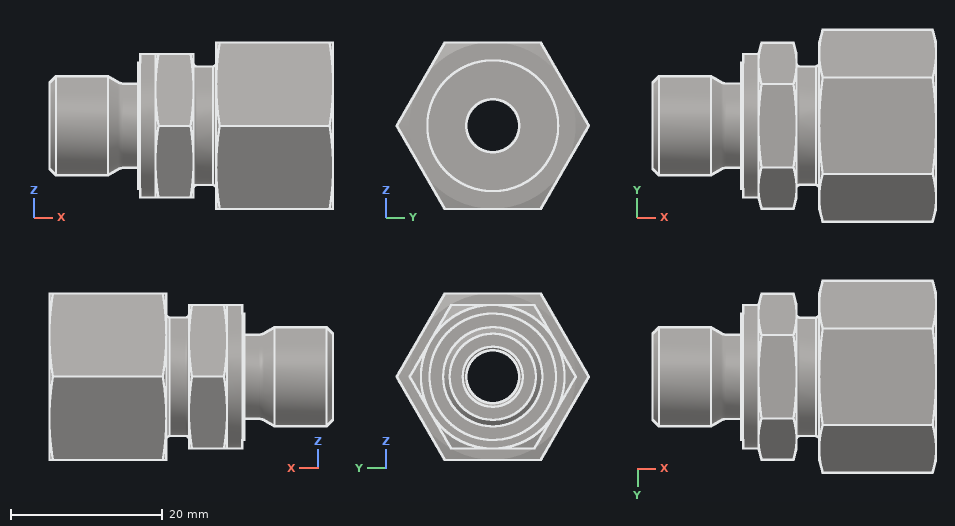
import cadquery as cq
import math


SEAL_FACE_X = 11.75
FLANGE_X = 12.0
BODY_HEX_X = 14.02
BODY_HEX_END_X = 19.05
NUT_X = 22.05
NUT_END_X = 37.5

STUD_RADIUS = 6.55
STUD_CHAMFER = 0.85
STUD_LENGTH = 7.72
BORE_RADIUS = 3.5
BORE_CHAMFER = 0.5

UNDERCUT_RADIUS = 5.6
UNDERCUT_ANGLE = math.radians(30)
UNDERCUT_BLEND = 1.2

BODY_HEX_FLATS = 19.0
NUT_FLATS = 22.0
HEX_CHAMFER_ANGLE = math.radians(15)
HEX_SIDES = 6

NECK_RADIUS = 7.85
NECK_FILLET = 0.45
SHANK_RADIUS = 8.65
NUT_MOUTH_CHAMFER = 0.55
SHANK_TAPER_X = 21.65
SHANK_TAPER_ANGLE = math.radians(30)

SEAL_RADIUS = 8.35
SEAL_THICKNESS = 1.5


def cylinder(x_start, x_end, radius):
    """Cylinder on the X axis between two stations."""
    return cq.Workplane("YZ").workplane(offset=x_start).circle(radius).extrude(x_end - x_start)


def revolve_about_x(profile):
    """Full turn of a closed XY profile about the X axis."""
    return profile.revolve(360, (0, 0, 0), (1, 0, 0))


def chamfered_hex(x_start, x_end, flats):
    """Hexagon with its corners on Y, turned conically at both ends down to its inscribed circle."""
    inscribed = flats / 2
    corner = inscribed / math.cos(math.pi / HEX_SIDES)
    chamfer = (corner - inscribed) * math.tan(HEX_CHAMFER_ANGLE)
    prism = (
        cq.Workplane("YZ").workplane(offset=x_start)
        .polygon(HEX_SIDES, 2 * corner)
        .extrude(x_end - x_start)
    )
    turned_blank = revolve_about_x(
        cq.Workplane("XY").polyline([
            (x_start, 0),
            (x_start, inscribed),
            (x_start + chamfer, corner),
            (x_end - chamfer, corner),
            (x_end, inscribed),
            (x_end, 0),
        ]).close()
    )
    return prism.intersect(turned_blank)


def make_stud():
    """Chamfered stud with its undercut, reaching to the flange."""
    blend_drop = UNDERCUT_BLEND * (1 - math.cos(UNDERCUT_ANGLE))
    blend_length = UNDERCUT_BLEND * math.sin(UNDERCUT_ANGLE)
    cone_end_radius = UNDERCUT_RADIUS + blend_drop
    cone_end_x = STUD_LENGTH + (STUD_RADIUS - cone_end_radius) / math.tan(UNDERCUT_ANGLE)
    blend_end_x = cone_end_x + blend_length
    half_angle = UNDERCUT_ANGLE / 2
    blend_middle = (
        blend_end_x - UNDERCUT_BLEND * math.sin(half_angle),
        UNDERCUT_RADIUS + UNDERCUT_BLEND * (1 - math.cos(half_angle)),
    )
    profile = (
        cq.Workplane("XY")
        .moveTo(0, 0)
        .lineTo(0, STUD_RADIUS - STUD_CHAMFER)
        .lineTo(STUD_CHAMFER, STUD_RADIUS)
        .lineTo(STUD_LENGTH, STUD_RADIUS)
        .lineTo(cone_end_x, cone_end_radius)
        .threePointArc(blend_middle, (blend_end_x, UNDERCUT_RADIUS))
        .lineTo(FLANGE_X, UNDERCUT_RADIUS)
        .lineTo(FLANGE_X, 0)
        .close()
    )
    return revolve_about_x(profile)


def make_shank():
    """Neck filleted into the hexagon, then tapered up to the shank that fills the nut."""
    taper_end_x = SHANK_TAPER_X + (SHANK_RADIUS - NECK_RADIUS) / math.tan(SHANK_TAPER_ANGLE)
    profile = (
        cq.Workplane("XY")
        .moveTo(BODY_HEX_END_X, 0)
        .lineTo(BODY_HEX_END_X, NECK_RADIUS + NECK_FILLET)
        .radiusArc((BODY_HEX_END_X + NECK_FILLET, NECK_RADIUS), -NECK_FILLET)
        .lineTo(SHANK_TAPER_X, NECK_RADIUS)
        .lineTo(taper_end_x, SHANK_RADIUS)
        .lineTo(NUT_END_X, SHANK_RADIUS)
        .lineTo(NUT_END_X, 0)
        .close()
    )
    return revolve_about_x(profile)


def make_bore():
    """Through bore with a conical mouth at the stud end."""
    profile = cq.Workplane("XY").polyline([
        (0, 0),
        (0, BORE_RADIUS + BORE_CHAMFER),
        (BORE_CHAMFER, BORE_RADIUS),
        (NUT_END_X, BORE_RADIUS),
        (NUT_END_X, 0),
    ]).close()
    return revolve_about_x(profile)


def make_seal():
    """Flat ring around the undercut, standing slightly proud of the flange."""
    seal_end_x = SEAL_FACE_X + SEAL_THICKNESS
    outer = cylinder(SEAL_FACE_X, seal_end_x, SEAL_RADIUS)
    return outer.cut(cylinder(SEAL_FACE_X, seal_end_x, UNDERCUT_RADIUS))


def make_body(seal):
    """Stud, flange, hexagon and shank in one piece, with the bore and the seal's recess."""
    flange = cylinder(FLANGE_X, BODY_HEX_X, BODY_HEX_FLATS / 2)
    hexagon = chamfered_hex(BODY_HEX_X, BODY_HEX_END_X, BODY_HEX_FLATS)
    solid = make_stud().union(flange).union(hexagon).union(make_shank())
    return solid.cut(make_bore()).cut(seal)


def make_nut():
    """Hexagon nut bored through to fit the shank, with a chamfered mouth facing the body."""
    bore = revolve_about_x(
        cq.Workplane("XY").polyline([
            (NUT_X, 0),
            (NUT_X, SHANK_RADIUS + NUT_MOUTH_CHAMFER),
            (NUT_X + NUT_MOUTH_CHAMFER, SHANK_RADIUS),
            (NUT_END_X, SHANK_RADIUS),
            (NUT_END_X, 0),
        ]).close()
    )
    return chamfered_hex(NUT_X, NUT_END_X, NUT_FLATS).cut(bore)


seal_ring = make_seal()
fitting_body = make_body(seal_ring)
union_nut = make_nut()

result = cq.Compound.makeCompound([fitting_body.val(), seal_ring.val(), union_nut.val()])